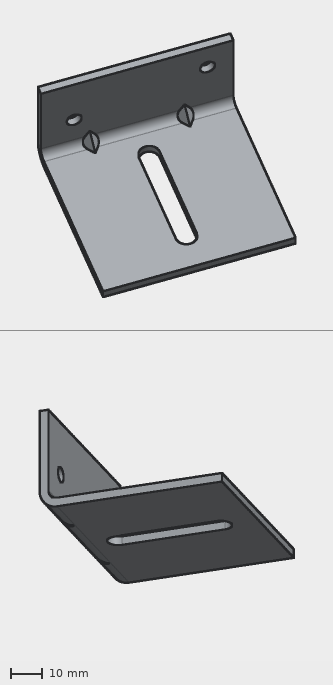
import math

import cadquery as cq

base_length = 62.0
width = 65.0
flange_height = 34.0
thickness = 3.0
inner_bend_radius = 3.0
outer_bend_radius = inner_bend_radius + thickness

slot_start_x = 11.0
slot_end_x = 53.0
slot_width = 7.0

hole_diameter = 5.0
hole_positions = [(23.75, 24.0), (-21.25, 16.0)]

dimple_spacing = 32.0
dimple_half_angle = 47.0
ridge_leg = 5.2
ridge_distance = (2 * thickness + ridge_leg) / math.sqrt(2)
valley_distance = ridge_distance - thickness / math.sin(math.radians(dimple_half_angle))
mid_bend_radius = inner_bend_radius + thickness / 2
mid_bend_distance = math.sqrt(2) * outer_bend_radius - mid_bend_radius


def make_bent_sheet():
    base = cq.Workplane("XY").box(base_length, width, thickness, centered=(False, True, False))
    flange = cq.Workplane("XY").box(thickness, width, flange_height, centered=(False, True, False))
    inner_corner = cq.selectors.NearestToPointSelector((thickness, 0, thickness))
    outer_corner = cq.selectors.NearestToPointSelector((0, 0, 0))
    sheet = base.union(flange)
    sheet = sheet.edges("|Y").edges(inner_corner).fillet(inner_bend_radius)
    return sheet.edges("|Y").edges(outer_corner).fillet(outer_bend_radius)


def make_wedge(base_distance, apex_distance, center_y):
    """Triangular prism across the bend, with its apex edge at 45 degrees pointing to the inner side."""
    height = apex_distance - base_distance
    half_width = height * math.tan(math.radians(dimple_half_angle))
    section_plane = cq.Plane(origin=(0, center_y, 0), xDir=(1, 0, 1), normal=(1, 0, -1))
    return (
        cq.Workplane(section_plane)
        .polyline([(base_distance, -half_width), (apex_distance, 0), (base_distance, half_width)])
        .close()
        .extrude(ridge_distance, both=True)
    )


def add_dimple(body, center_y):
    clip_block = (
        cq.Workplane("XY")
        .box(2 * ridge_distance, width, 2 * ridge_distance, centered=(False, True, False))
        .translate((thickness / 2, 0, thickness / 2))
    )
    ridge = make_wedge(mid_bend_distance, ridge_distance, center_y).intersect(clip_block)
    groove = make_wedge(0, valley_distance, center_y)
    return body.union(ridge).cut(groove)


def cut_slot(body):
    slot = (
        cq.Workplane("XY")
        .center((slot_start_x + slot_end_x) / 2, 0)
        .slot2D(slot_end_x - slot_start_x, slot_width)
        .extrude(thickness)
    )
    return body.cut(slot)


def cut_flange_holes(body):
    holes = cq.Workplane("YZ").pushPoints(hole_positions).circle(hole_diameter / 2).extrude(thickness)
    return body.cut(holes)


result = make_bent_sheet()
for side in (-1, 1):
    result = add_dimple(result, side * dimple_spacing / 2)
result = cut_slot(result)
result = cut_flange_holes(result)